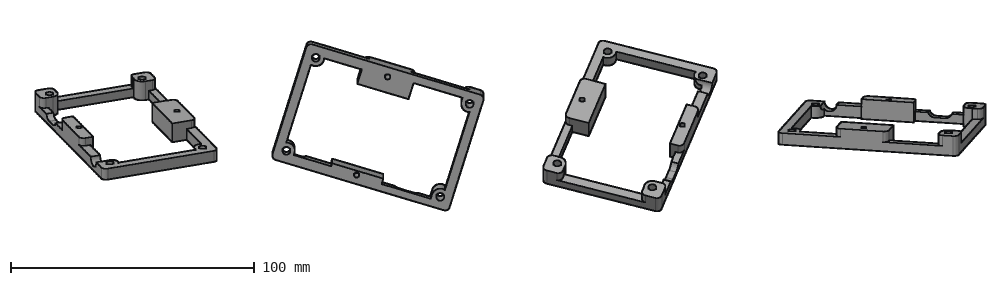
import cadquery as cq

LENGTH = 76.0
WIDTH = 51.0
FULL_HEIGHT = 8.5
CORNER_RADIUS = 2.0

LEFT_RAIL_HEIGHT = 4.0
RIGHT_RAIL_HEIGHT = 5.0
END_RAIL_THICKNESS = 4.0
FRONT_LEFT_THICKNESS = 3.1
BACK_LEFT_THICKNESS = 3.4
RIGHT_RAIL_THICKNESS = 4.2

SCREW_INSET = 5.0
BOSS_RADIUS = 3.5
SCREW_HOLE_DIAMETER = 3.2
SCREW_YS = (SCREW_INSET, WIDTH - SCREW_INSET)
PILLAR_LENGTH = SCREW_INSET + BOSS_RADIUS
PILLAR_WIDTH = 8.4

PAD_LENGTH = 22.0
PAD_CENTER_X = 40.5
FRONT_PAD_DEPTH = 5.5
BACK_PAD_DEPTH = 10.5
FRONT_PAD_HOLE_DIAMETER = 2.1
BACK_PAD_HOLE_DIAMETER = 2.2
FRONT_PAD_HOLE_INSET = 3.7
BACK_PAD_HOLE_INSET = 4.0

PASSAGE_FLOOR = 2.0
SLOT_CENTER_X = 19.0
SLOT_FLAT = 4.0
SLOT_HEIGHT = FULL_HEIGHT - PASSAGE_FLOOR
ROUND_CENTER_X = 65.4
PASSAGE_REACH = SCREW_INSET + BOSS_RADIUS
ROUND_RADIUS = RIGHT_RAIL_HEIGHT - PASSAGE_FLOOR


def block(x_min, x_max, y_min, y_max, height):
    """Box standing on the base plane between the given limits."""
    return cq.Workplane("XY").box(x_max - x_min, y_max - y_min, height, centered=False).translate(
        (x_min, y_min, 0)
    )


def cylinder(x, y, radius, height):
    """Upright cylinder standing on the base plane."""
    return cq.Workplane("XY").center(x, y).circle(radius).extrude(height)


def rails():
    """Stepped rectangular frame with rounded outer corners."""
    left = block(0, PAD_CENTER_X, 0, WIDTH, LEFT_RAIL_HEIGHT)
    left_opening = block(
        END_RAIL_THICKNESS, PAD_CENTER_X, FRONT_LEFT_THICKNESS, WIDTH - BACK_LEFT_THICKNESS, FULL_HEIGHT
    )
    right = block(PAD_CENTER_X, LENGTH, 0, WIDTH, RIGHT_RAIL_HEIGHT)
    right_opening = block(
        PAD_CENTER_X,
        LENGTH - END_RAIL_THICKNESS,
        RIGHT_RAIL_THICKNESS,
        WIDTH - RIGHT_RAIL_THICKNESS,
        FULL_HEIGHT,
    )
    left_frame = left.cut(left_opening).edges("|Z and <X").fillet(CORNER_RADIUS)
    right_frame = right.cut(right_opening).edges("|Z and >X").fillet(CORNER_RADIUS)
    return left_frame.union(right_frame)


def pillar():
    """Full-height corner post at the front-left corner, its inner corner rounded around the screw."""
    inner_round = cylinder(SCREW_INSET, SCREW_INSET, BOSS_RADIUS, FULL_HEIGHT)
    front_block = block(0, PILLAR_LENGTH, 0, SCREW_INSET, FULL_HEIGHT)
    end_block = block(0, END_RAIL_THICKNESS, 0, PILLAR_WIDTH, FULL_HEIGHT)
    front_arm = front_block.edges("|Z and <Y").fillet(CORNER_RADIUS)
    end_arm = end_block.edges("|Z and <X").fillet(CORNER_RADIUS)
    return front_arm.union(end_arm).union(inner_round)


def add_corners(body):
    """Pillars at the left end and screw bosses at the right end."""
    front_pillar = pillar()
    back_pillar = front_pillar.mirror("XZ").translate((0, WIDTH, 0))
    body = body.union(front_pillar).union(back_pillar)
    for y in SCREW_YS:
        body = body.union(cylinder(LENGTH - SCREW_INSET, y, BOSS_RADIUS, RIGHT_RAIL_HEIGHT))
    return body


def add_pads(body):
    """Clamp pads over the step in the rails, rounded on their outer corners above the rails."""
    x_min = PAD_CENTER_X - PAD_LENGTH / 2
    x_max = PAD_CENTER_X + PAD_LENGTH / 2
    front = block(x_min, x_max, 0, FRONT_PAD_DEPTH, FULL_HEIGHT).edges("|Z and <Y").fillet(CORNER_RADIUS)
    back = (
        block(x_min, x_max, WIDTH - BACK_PAD_DEPTH, WIDTH, FULL_HEIGHT)
        .edges("|Z and >Y")
        .fillet(CORNER_RADIUS)
    )
    return body.union(front).union(back)


def cut_holes(body):
    """Through holes for the corner screws and the pad screws."""
    for x in (SCREW_INSET, LENGTH - SCREW_INSET):
        for y in SCREW_YS:
            body = body.cut(cylinder(x, y, SCREW_HOLE_DIAMETER / 2, FULL_HEIGHT))
    front_hole = cylinder(PAD_CENTER_X, FRONT_PAD_HOLE_INSET, FRONT_PAD_HOLE_DIAMETER / 2, FULL_HEIGHT)
    back_hole = cylinder(
        PAD_CENTER_X, WIDTH - BACK_PAD_HOLE_INSET, BACK_PAD_HOLE_DIAMETER / 2, FULL_HEIGHT
    )
    return body.cut(front_hole).cut(back_hole)


def cut_passages(body):
    """Flat-bottomed slot and round notch running in from the front face."""
    slot = (
        cq.Workplane("XZ")
        .center(SLOT_CENTER_X, PASSAGE_FLOOR + SLOT_HEIGHT / 2)
        .slot2D(SLOT_FLAT + SLOT_HEIGHT, SLOT_HEIGHT)
        .extrude(-PASSAGE_REACH)
    )
    notch = (
        cq.Workplane("XZ")
        .center(ROUND_CENTER_X, PASSAGE_FLOOR + ROUND_RADIUS)
        .circle(ROUND_RADIUS)
        .extrude(-PASSAGE_REACH)
    )
    return body.cut(slot).cut(notch)


result = cut_passages(cut_holes(add_pads(add_corners(rails()))))